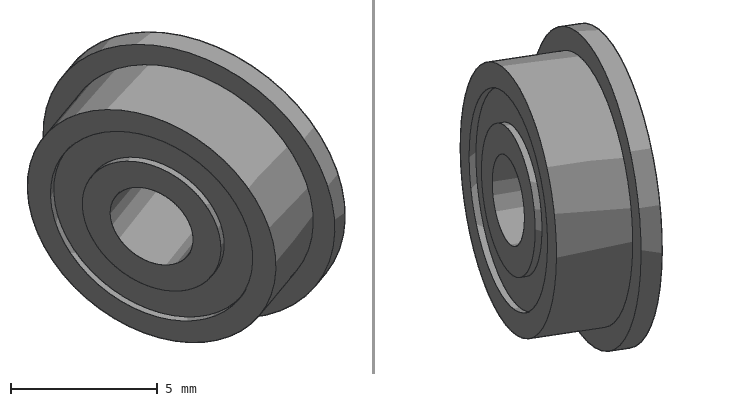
import cadquery as cq

flange_diameter = 11.18
body_diameter = 9.53
bore_diameter = 3.18
width = 3.53
flange_thickness = 0.77

recess_outer_diameter = 7.75
recess_inner_diameter = 5.31
recess_depth = 0.25


def cylinder(diameter, start_y, length):
    """Solid cylinder on the Y axis, running from start_y toward +Y."""
    axis_start = cq.Vector(0, start_y, 0)
    axis_direction = cq.Vector(0, 1, 0)
    return cq.Workplane(cq.Solid.makeCylinder(diameter / 2, length, axis_start, axis_direction))


front_y = -width / 2
flange_start_y = width / 2 - flange_thickness

body = cylinder(body_diameter, front_y, width)
flange = cylinder(flange_diameter, flange_start_y, flange_thickness)
bore = cylinder(bore_diameter, front_y, width)

recess_outside = cylinder(recess_outer_diameter, front_y, recess_depth)
recess_core = cylinder(recess_inner_diameter, front_y, recess_depth)
recess = recess_outside.cut(recess_core)

result = body.union(flange).cut(bore).cut(recess)